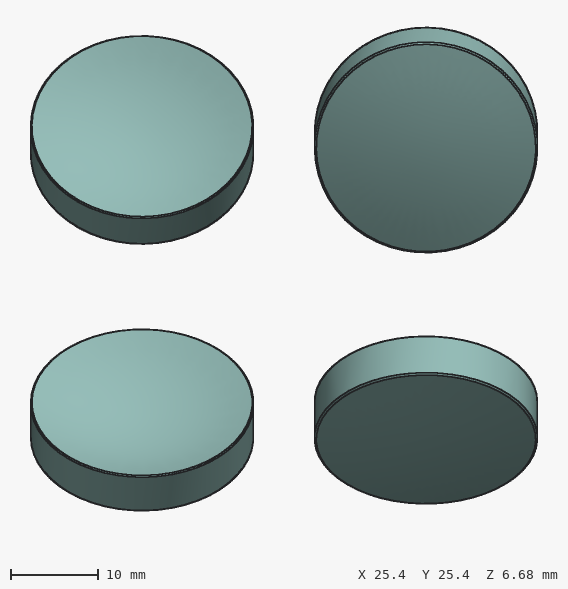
import cadquery as cq

diameter = 25.4
overall_height = 6.68
top_bevel = 0.15
bottom_bevel = 0.2
convex_depth = 1.25
concave_depth = 2.62

radius = diameter / 2
top_rim_radius = radius - top_bevel
bottom_rim_radius = radius - bottom_bevel


def spherical_sag(full_sag, face_radius, distance):
    """Height change from the axis of a spherical face at a distance from it."""
    sphere_radius = (face_radius**2 + full_sag**2) / (2 * full_sag)
    return sphere_radius - (sphere_radius**2 - distance**2) ** 0.5


convex_mid_radius = bottom_rim_radius / 2
convex_mid_z = spherical_sag(convex_depth, bottom_rim_radius, convex_mid_radius)

hollow_z = overall_height - concave_depth
concave_mid_radius = top_rim_radius / 2
concave_mid_z = hollow_z + spherical_sag(concave_depth, top_rim_radius, concave_mid_radius)

half_section = (
    cq.Workplane("XZ")
    .moveTo(0, 0)
    .threePointArc((convex_mid_radius, convex_mid_z), (bottom_rim_radius, convex_depth))
    .lineTo(radius, convex_depth + bottom_bevel)
    .lineTo(radius, overall_height - top_bevel)
    .lineTo(top_rim_radius, overall_height)
    .threePointArc((concave_mid_radius, concave_mid_z), (0, hollow_z))
    .close()
)
result = half_section.revolve(360, (0, 0, 0), (0, 1, 0))